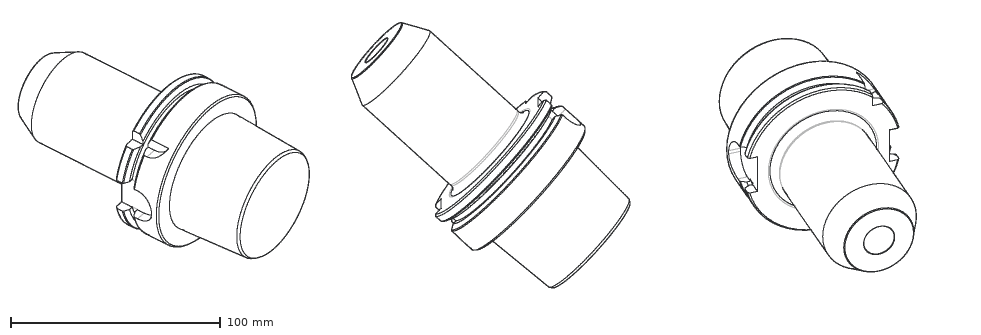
import cadquery as cq
import math

LENGTH = 140.0

NOSE_DIA = 36.0
NOSE_EDGE = 0.4
NOSE_LENGTH = 12.7
SHANK_DIA = 48.0
RELIEF_DIA = 47.7
RELIEF_START = 69.7
RELIEF_END = 70.7
BORE_DIA = 15.5
BORE_MOUTH_DIA = 16.0
BORE_DEPTH = 50.4

ROOT_RADIUS = 3.5
UNDERCUT_OUTER_RADIUS = 28.3

FLANGE_DIA = 80.0
FLANGE_START = 73.9
FLANGE_END = 100.0
FLANGE_CHAMFER = 0.8

GROOVE_CENTER = 81.8
GROOVE_FLOOR_WIDTH = 3.1
GROOVE_FLOOR_DIA = 70.0
GROOVE_SLOPE_DIA = 74.2
GROOVE_FLANK_ANGLE = 30.0
LIP_WIDTH = 0.5
LIP_DEPTH = 0.3

TAPER_START_DIA = 61.0
TAPER_END_DIA = 57.1
TAPER_CHAMFER_LENGTH = 1.4
TAPER_CHAMFER_DEPTH = 0.8

SLOT_FLOOR = 33.9
SLOT_END = 96.3
NARROW_SLOT_WIDTH = 18.0
WIDE_SLOT_WIDTH = 19.9
CUTTER_RADIUS = NARROW_SLOT_WIDTH / 2
NOTCH_OFFSET = 25.2
NOTCH_END = 96.0


def turned_body():
    flange_radius = FLANGE_DIA / 2
    relief_radius = RELIEF_DIA / 2
    taper_end_radius = TAPER_END_DIA / 2
    floor_half = GROOVE_FLOOR_WIDTH / 2
    lip_radius = flange_radius - LIP_DEPTH
    slope_run = (lip_radius - GROOVE_SLOPE_DIA / 2) * math.tan(math.radians(GROOVE_FLANK_ANGLE))
    mouth_half = floor_half + slope_run
    root_end = RELIEF_END + ROOT_RADIUS
    root_middle = (
        RELIEF_END + ROOT_RADIUS * math.sin(math.radians(45)),
        relief_radius + ROOT_RADIUS * (1 - math.cos(math.radians(45))),
    )
    profile = (
        cq.Workplane("XY")
        .moveTo(0, 0)
        .lineTo(0, NOSE_DIA / 2 - NOSE_EDGE)
        .lineTo(NOSE_EDGE, NOSE_DIA / 2)
        .lineTo(NOSE_LENGTH, SHANK_DIA / 2)
        .lineTo(RELIEF_START, SHANK_DIA / 2)
        .lineTo(RELIEF_END, relief_radius)
        .threePointArc(root_middle, (root_end, relief_radius + ROOT_RADIUS))
        .lineTo(FLANGE_START, UNDERCUT_OUTER_RADIUS)
        .lineTo(FLANGE_START, flange_radius - FLANGE_CHAMFER)
        .lineTo(FLANGE_START + FLANGE_CHAMFER, flange_radius)
        .lineTo(GROOVE_CENTER - mouth_half - LIP_WIDTH, flange_radius)
        .lineTo(GROOVE_CENTER - mouth_half, lip_radius)
        .lineTo(GROOVE_CENTER - floor_half, GROOVE_SLOPE_DIA / 2)
        .lineTo(GROOVE_CENTER - floor_half, GROOVE_FLOOR_DIA / 2)
        .lineTo(GROOVE_CENTER + floor_half, GROOVE_FLOOR_DIA / 2)
        .lineTo(GROOVE_CENTER + floor_half, GROOVE_SLOPE_DIA / 2)
        .lineTo(GROOVE_CENTER + mouth_half, lip_radius)
        .lineTo(GROOVE_CENTER + mouth_half + LIP_WIDTH, flange_radius)
        .lineTo(FLANGE_END - FLANGE_CHAMFER, flange_radius)
        .lineTo(FLANGE_END, flange_radius - FLANGE_CHAMFER)
        .lineTo(FLANGE_END, TAPER_START_DIA / 2)
        .lineTo(LENGTH - TAPER_CHAMFER_LENGTH, taper_end_radius)
        .lineTo(LENGTH, taper_end_radius - TAPER_CHAMFER_DEPTH)
        .lineTo(LENGTH, 0)
        .close()
    )
    return profile.revolve(360, (0, 0, 0), (1, 0, 0))


def bore():
    """Blind bore with a small chamfer at its mouth."""
    mouth_depth = (BORE_MOUTH_DIA - BORE_DIA) / 2
    profile = (
        cq.Workplane("XY")
        .lineTo(0, BORE_MOUTH_DIA / 2)
        .lineTo(mouth_depth, BORE_DIA / 2)
        .lineTo(BORE_DEPTH, BORE_DIA / 2)
        .lineTo(BORE_DEPTH, 0)
        .close()
    )
    return profile.revolve(360, (0, 0, 0), (1, 0, 0))


def drive_slot(width, side):
    """Slot from the flange face; side is -1 for -Y and +1 for +Y."""
    straight_edge = width / 2
    end_flat_edge = width / 2 - CUTTER_RADIUS
    round_start = SLOT_END - CUTTER_RADIUS
    diagonal = CUTTER_RADIUS * math.sin(math.radians(45))
    outline = (
        cq.Workplane("XZ")
        .moveTo(FLANGE_START, -straight_edge)
        .lineTo(round_start, -straight_edge)
        .threePointArc(
            (round_start + diagonal, -end_flat_edge - diagonal), (SLOT_END, -end_flat_edge)
        )
    )
    if end_flat_edge > 0:
        outline = outline.lineTo(SLOT_END, end_flat_edge)
    outline = (
        outline.threePointArc(
            (round_start + diagonal, end_flat_edge + diagonal), (round_start, straight_edge)
        )
        .lineTo(FLANGE_START, straight_edge)
        .close()
    )
    depth = FLANGE_DIA / 2 - SLOT_FLOOR
    return outline.extrude(-side * depth).translate((0, side * SLOT_FLOOR, 0))


def corner_notch():
    """Step at the -Y, +Z edge of the flange with a rounded run-out along X."""
    size = FLANGE_DIA / 2 - NOTCH_OFFSET
    block = cq.Workplane("XY").box(NOTCH_END - FLANGE_START, size, size, centered=False)
    block = block.edges("|Y and >X and <Z").fillet(CUTTER_RADIUS)
    return block.translate((FLANGE_START, -FLANGE_DIA / 2, NOTCH_OFFSET))


result = (
    turned_body()
    .cut(bore())
    .cut(drive_slot(NARROW_SLOT_WIDTH, -1))
    .cut(drive_slot(WIDE_SLOT_WIDTH, 1))
    .cut(corner_notch())
)